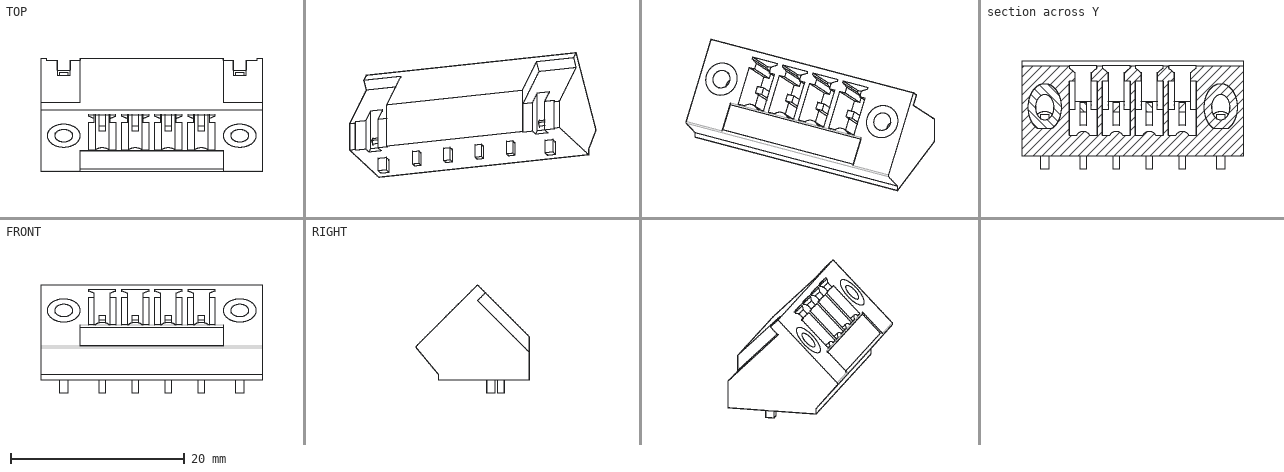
import cadquery as cq
import math


width = 25.63
height = 11.02
apex_setback = 6.0
foot_setback = 10.53
foot_height = 0.67
tip_setback = 13.17
edge_radius = 0.18
back_height = height - apex_setback
tip_height = height - (tip_setback - apex_setback)

end_width = 4.54
flange_thickness = 1.28
step_depth = 1.28
middle_width = width - 2 * end_width
side_rib_width = 0.67
back_relief = 0.25

slot_width = 1.49
slot_setback = 1.97
slot_floor_start = 1.38

pole_count = 4
pole_pitch = 3.82
pocket_width = 3.2
pocket_top = 2.05
pocket_bottom = 6.48
pocket_depth = 5.9
neck_width = 1.85
dovetail_width = 3.13
dovetail_top = 0.77
dovetail_side_end = 0.97
neck_top = 1.35
rib_chord = 1.6
rib_rise = 0.35

recess_top = 6.59

axis_drop = 4.18
flange_offset = 10.18

bushing_diameter = 3.8
bushing_bore = 2.05
bushing_length = 5.13

pin_length = 1.49
contact_size = 0.8
contact_setback = 3.3
contact_tip_depth = 1.2
anchor_size = 1.0
anchor_setback = 4.45
anchor_end_setback = 1.65

ridge = (0, -apex_setback, height)
face_plane = cq.Plane(origin=ridge, xDir=(1, 0, 0), normal=(0, -1, 1))
section_plane = cq.Plane(origin=ridge, xDir=(0, -1, -1), normal=(1, 0, 0))
pole_positions = [(i - (pole_count - 1) / 2) * pole_pitch for i in range(pole_count)]
flange_positions = [-flange_offset, flange_offset]


def depth_on_axis(setback):
    """Depth below the mating face of the axis point that lies this far from the back."""
    return (apex_setback - setback) * math.sqrt(2) + axis_drop


def height_on_axis(setback):
    """Z of the axis point that lies this far from the back."""
    return back_height + setback - axis_drop * math.sqrt(2)


def block(x_center, x_size, y_size, z_size, setback, bottom):
    """Upright box that starts at a distance from the back and extends forward."""
    return (
        cq.Workplane("XY")
        .box(x_size, y_size, z_size, centered=(True, False, False))
        .translate((x_center, -setback - y_size, bottom))
    )


def slope_point(along, depth):
    """(Y, Z) of a point this far down the mating face from the ridge and this far below the face."""
    return (
        -apex_setback + (depth - along) * math.sqrt(0.5),
        height - (depth + along) * math.sqrt(0.5),
    )


def slice_of_housing(slice_width, recessed):
    """Stretch of the housing centered on X = 0, with or without the recess in its mating face.

    The recess is as deep as the edge radius, so its upper edge rounds over its whole depth
    and the rounded front tip goes on round to its floor.
    """
    tip_angle = math.atan2(tip_height - foot_height, tip_setback - foot_setback) + math.pi / 4
    tangent_length = edge_radius / math.tan(tip_angle / 2)
    face_end = (tip_setback - apex_setback) * math.sqrt(2) - tangent_length
    round_start = slope_point(face_end, 0)
    round_middle = slope_point(
        face_end + edge_radius * math.cos(tip_angle / 2),
        edge_radius - edge_radius * math.sin(tip_angle / 2),
    )
    round_end = slope_point(
        face_end + tangent_length - tangent_length * math.cos(tip_angle),
        tangent_length * math.sin(tip_angle),
    )
    diagonal = edge_radius * math.sqrt(0.5)
    outline = (
        cq.Workplane("YZ")
        .moveTo(0, 0)
        .lineTo(0, back_height)
        .lineTo(-apex_setback, height)
    )
    if recessed:
        outline = (
            outline.lineTo(*slope_point(recess_top, 0))
            .threePointArc(
                slope_point(recess_top + diagonal, edge_radius - diagonal),
                slope_point(recess_top + edge_radius, edge_radius),
            )
            .lineTo(*slope_point(face_end - edge_radius, edge_radius))
            .threePointArc(round_start, round_end)
        )
    else:
        outline = outline.lineTo(*round_start).threePointArc(round_middle, round_end)
    return (
        outline.lineTo(-foot_setback, foot_height)
        .lineTo(-foot_setback, 0)
        .close()
        .extrude(slice_width / 2, both=True)
    )


def body_block():
    block_body = slice_of_housing(middle_width, recessed=True)
    for side in (-1, 1):
        end = slice_of_housing(end_width, recessed=False)
        block_body = block_body.union(end.translate((side * (width - end_width) / 2, 0, 0)))
    return block_body


def pole_pocket(x_center):
    """Pocket with a dovetail keyway above it and a round rib along its lower wall."""
    half_pocket = pocket_width / 2
    half_neck = neck_width / 2
    half_dovetail = dovetail_width / 2
    half_rib = rib_chord / 2
    return (
        cq.Workplane(face_plane)
        .center(x_center, 0)
        .moveTo(-half_dovetail, -dovetail_top)
        .lineTo(half_dovetail, -dovetail_top)
        .lineTo(half_dovetail, -dovetail_side_end)
        .lineTo(half_neck, -neck_top)
        .lineTo(half_neck, -pocket_top)
        .lineTo(half_pocket, -pocket_top)
        .lineTo(half_pocket, -pocket_bottom)
        .lineTo(half_rib, -pocket_bottom)
        .threePointArc((0, rib_rise - pocket_bottom), (-half_rib, -pocket_bottom))
        .lineTo(-half_pocket, -pocket_bottom)
        .lineTo(-half_pocket, -pocket_top)
        .lineTo(-half_neck, -pocket_top)
        .lineTo(-half_neck, -neck_top)
        .lineTo(-half_dovetail, -dovetail_side_end)
        .close()
        .extrude(-pocket_depth)
    )


def end_step(side):
    """Cut that leaves only a flange behind the mating face at one end."""
    return (
        cq.Workplane(section_plane)
        .moveTo(0, flange_thickness)
        .rect(step_depth, height, centered=False)
        .extrude(end_width)
        .translate((side * (width - end_width) / 2 - end_width / 2, 0, 0))
    )


def back_relief_cut(side):
    relief_width = end_width - side_rib_width
    x_center = side * (middle_width + relief_width) / 2
    return block(x_center, relief_width, back_relief, height, 0, 0)


def anchor_slot(x_center):
    """Slot down from the step, with a 45 degree floor that runs out at the bottom."""
    return (
        cq.Workplane("YZ")
        .moveTo(0, 0)
        .lineTo(-slot_floor_start, 0)
        .lineTo(-slot_setback, slot_setback - slot_floor_start)
        .lineTo(-slot_setback, height)
        .lineTo(0, height)
        .close()
        .extrude(slot_width / 2, both=True)
        .translate((x_center, 0, 0))
    )


def bushing_cylinder(x_center, diameter):
    return (
        cq.Workplane(face_plane)
        .center(x_center, -axis_drop)
        .circle(diameter / 2)
        .extrude(-bushing_length)
    )


def threaded_bushing(x_center):
    return bushing_cylinder(x_center, bushing_diameter).cut(bushing_cylinder(x_center, bushing_bore))


def solder_pin(x_center, size, leg_setback, start_depth, end_depth):
    """Square bar on the 45 degree axis, with a leg down through the bottom of the housing."""
    bar = (
        cq.Workplane(face_plane)
        .workplane(offset=-start_depth)
        .center(x_center, -axis_drop)
        .rect(size, size)
        .extrude(start_depth - end_depth)
    )
    leg_height = pin_length + height_on_axis(leg_setback)
    leg = block(x_center, size, size, leg_height, leg_setback - size / 2, -pin_length)
    return bar.union(leg)


def contact(x_center):
    end_depth = depth_on_axis(contact_setback) + contact_size / 2
    return solder_pin(x_center, contact_size, contact_setback, contact_tip_depth, end_depth)


def anchor(x_center):
    end_axis_setback = anchor_end_setback + anchor_size / 2 * math.sqrt(0.5)
    end_depth = depth_on_axis(end_axis_setback)
    return solder_pin(x_center, anchor_size, anchor_setback, bushing_length, end_depth)


bushings = [threaded_bushing(x) for x in flange_positions]
contacts = [contact(x) for x in pole_positions]
anchors = [anchor(x) for x in flange_positions]

housing = body_block()
for x in pole_positions:
    housing = housing.cut(pole_pocket(x))
for side in (-1, 1):
    housing = housing.cut(end_step(side)).cut(back_relief_cut(side))
for x in flange_positions:
    housing = housing.cut(anchor_slot(x)).cut(bushing_cylinder(x, bushing_diameter))
for pin in contacts + anchors:
    housing = housing.cut(pin)

result = cq.Compound.makeCompound(
    [
        housing.val(),
        *[bushing.val() for bushing in bushings],
        *[pin.val() for pin in contacts],
        *[pin.val() for pin in anchors],
    ]
)